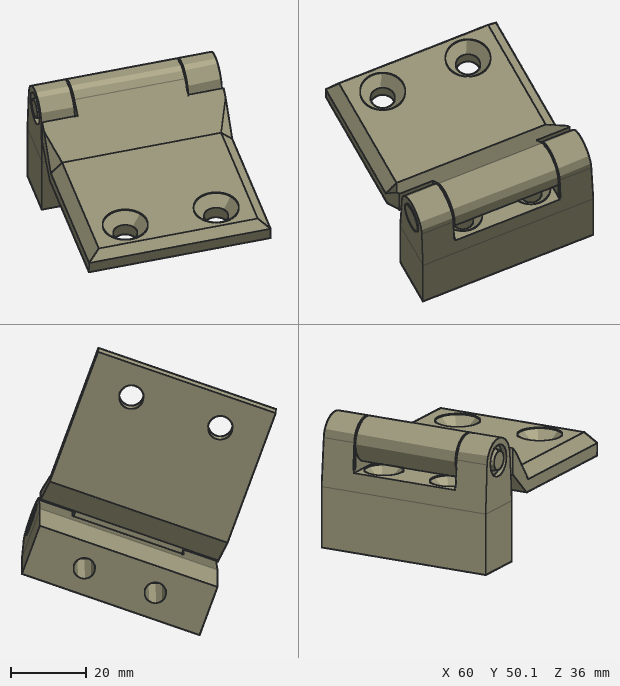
import cadquery as cq
import math


base_depth = 14.1
width = 50.0
block_height = 17.0
slot_floor = 22.0
slot_width = 30.65
relief_width = 31.2
relief_bottom = 22.85
relief_margin = 0.8
draft_angle = 0.5
base_hole_diameter = 5.7
base_sink_diameter = 10.5
base_hole_spacing = 20.0

axis_x = base_depth / 2
axis_z = 29.9
knuckle_radius = 6.1
hinge_top = axis_z + knuckle_radius

barrel_width = 30.4
notch_x = 14.45
arm_foot_x = 14.75
plate_thickness = 6.5
plate_bottom = block_height
plate_top = plate_bottom + plate_thickness
rim_height = 3.5
rim_z = plate_bottom + rim_height
upper_fold_x = 22.85
lower_fold_x = 21.95
leaf_end = 60.0
end_bevel = 1.6
end_undercut = 0.2
side_bevel = 3.1
bevel_start_x = 16.25
leaf_hole_x = 51.05
leaf_hole_spacing = 25.0
leaf_hole_diameter = 6.5
leaf_sink_diameter = 12.0

sink_lip = 0.3

pin_radius = 3.0
pin_tip_radius = 2.6
tip_recess_radius = 4.3
tip_recess_depth = 1.6
head_radius = 4.0
head_seat_depth = 1.1
head_stand_out = 0.1
head_bevel = 0.1

clearance = 0.6


def tangent_point(x, z, side, radius=knuckle_radius):
    """Point where the line from (x, z) touches a circle on the axis; side is +1 or -1 around it."""
    distance = math.hypot(x - axis_x, z - axis_z)
    angle = math.atan2(z - axis_z, x - axis_x) + side * math.acos(radius / distance)
    return (axis_x + radius * math.cos(angle), axis_z + radius * math.sin(angle))


def extrude_along_y(outline, length):
    """Solid from an XZ outline, centred on Y = 0."""
    return outline.extrude(length / 2, both=True)


def cylinder_along_y(radius, y_start, y_end):
    """Cylinder on the hinge axis between two Y positions."""
    plane = cq.Workplane("XZ", origin=(axis_x, y_start, axis_z))
    return plane.circle(radius).extrude(y_start - y_end)


def countersunk_holes(x, spacing, top, bottom, hole_diameter, sink_diameter):
    """Pair of vertical through holes with 90 degree countersinks below a short straight lip."""
    sink_depth = sink_lip + (sink_diameter - hole_diameter) / 2
    profile = [
        (0, bottom - clearance),
        (hole_diameter / 2, bottom - clearance),
        (hole_diameter / 2, top - sink_depth),
        (sink_diameter / 2, top - sink_lip),
        (sink_diameter / 2, top + clearance),
        (0, top + clearance),
    ]
    cutter = cq.Workplane("XZ").polyline(profile).close().revolve(360, (0, 0), (0, 1))
    first = cutter.translate((x, -spacing / 2, 0))
    second = cutter.translate((x, spacing / 2, 0))
    return first.union(second)


def knuckle_outline(inset):
    """Side outline of the knuckles, drawn in by an inset: straight flanks tangent to the round top."""
    radius = knuckle_radius - inset
    left = inset
    right = base_depth - inset
    return (
        cq.Workplane("XZ")
        .moveTo(left, block_height)
        .lineTo(right, block_height)
        .lineTo(*tangent_point(right, block_height, 1, radius))
        .threePointArc((axis_x, axis_z + radius), tangent_point(left, block_height, -1, radius))
        .close()
    )


def make_base():
    """Drilled block with two drafted knuckles standing on it."""
    block = cq.Workplane("XY").box(base_depth, width, block_height, centered=(False, True, False))

    draft = math.tan(math.radians(draft_angle))
    outer_top_y = width / 2 - (hinge_top - block_height) * draft
    slot_top_y = slot_width / 2 + (hinge_top - slot_floor) * draft
    fork = (
        cq.Workplane("YZ")
        .moveTo(-width / 2, block_height)
        .lineTo(width / 2, block_height)
        .lineTo(outer_top_y, hinge_top)
        .lineTo(slot_top_y, hinge_top)
        .lineTo(slot_width / 2, slot_floor)
        .lineTo(-slot_width / 2, slot_floor)
        .lineTo(-slot_top_y, hinge_top)
        .lineTo(-outer_top_y, hinge_top)
        .close()
        .extrude(base_depth)
    )
    knuckles = extrude_along_y(knuckle_outline(0), width)
    base = block.union(knuckles.intersect(fork))

    pads = extrude_along_y(knuckle_outline(relief_margin), width)
    relief = (
        cq.Workplane("XY")
        .box(base_depth, relief_width, hinge_top - relief_bottom, centered=(False, True, False))
        .translate((0, 0, relief_bottom))
        .cut(pads)
    )
    base = base.cut(relief)

    base = base.cut(
        countersunk_holes(
            x=axis_x,
            spacing=base_hole_spacing,
            top=slot_floor,
            bottom=0,
            hole_diameter=base_hole_diameter,
            sink_diameter=base_sink_diameter,
        )
    )

    bore = cylinder_along_y(pin_radius, -width / 2, width / 2)
    tip_recess = cylinder_along_y(tip_recess_radius, -width / 2, tip_recess_depth - width / 2)
    head_seat = cylinder_along_y(head_radius, width / 2 - head_seat_depth, width / 2)
    return base.cut(bore).cut(tip_recess).cut(head_seat)


def side_bevel_cutter():
    """Wedge along the +Y edge of the plate, from the fold to the end."""
    edge_y = width / 2
    slope = (plate_top - rim_z) / side_bevel
    outer_y = edge_y + clearance
    section = [
        (edge_y - side_bevel - clearance, plate_top + clearance * slope),
        (outer_y, rim_z - clearance * slope),
        (outer_y, plate_top + clearance * slope),
    ]
    return (
        cq.Workplane("YZ", origin=(upper_fold_x, 0, 0))
        .polyline(section)
        .close()
        .extrude(leaf_end - upper_fold_x)
    )


def arm_corner_cutter():
    """Tetrahedron that bevels the arm's +Y edge between the fold and the bevel's run-out."""
    tangent_x, tangent_z = tangent_point(upper_fold_x, plate_top, 1)
    arm_slope = (tangent_z - plate_top) / (upper_fold_x - tangent_x)
    edge_y = width / 2
    run_out = cq.Vector(bevel_start_x, edge_y, plate_top + arm_slope * (upper_fold_x - bevel_start_x))
    inner = cq.Vector(upper_fold_x, edge_y - side_bevel, plate_top)
    lower = cq.Vector(upper_fold_x, edge_y, rim_z)
    corner = cq.Vector(upper_fold_x, edge_y, plate_top)
    triangles = [
        (run_out, inner, lower),
        (run_out, inner, corner),
        (run_out, lower, corner),
        (inner, lower, corner),
    ]
    faces = [cq.Face.makeFromWires(cq.Wire.makePolygon(t, close=True)) for t in triangles]
    return cq.Workplane(cq.Solid.makeSolid(cq.Shell.makeShell(faces)))


def make_leaf():
    """Cranked leaf: barrel, sloping arm and bevelled plate with its screw holes."""
    leaf = extrude_along_y(
        cq.Workplane("XZ")
        .moveTo(axis_x, axis_z - knuckle_radius)
        .lineTo(arm_foot_x, axis_z - knuckle_radius)
        .lineTo(lower_fold_x, plate_bottom)
        .lineTo(leaf_end - end_undercut, plate_bottom)
        .lineTo(leaf_end, rim_z)
        .lineTo(leaf_end - end_bevel, plate_top)
        .lineTo(upper_fold_x, plate_top)
        .lineTo(*tangent_point(upper_fold_x, plate_top, 1))
        .threePointArc((axis_x - knuckle_radius, axis_z), (axis_x, axis_z - knuckle_radius))
        .close(),
        width,
    )

    notch_width = (width - barrel_width) / 2
    notch = (
        cq.Workplane("XY")
        .box(notch_x, notch_width, hinge_top, centered=(False, False, False))
        .translate((0, barrel_width / 2, 0))
    )
    for cutter in (notch, side_bevel_cutter(), arm_corner_cutter()):
        leaf = leaf.cut(cutter).cut(cutter.mirror("XZ"))

    leaf = leaf.cut(
        countersunk_holes(
            x=leaf_hole_x,
            spacing=leaf_hole_spacing,
            top=plate_top,
            bottom=plate_bottom,
            hole_diameter=leaf_hole_diameter,
            sink_diameter=leaf_sink_diameter,
        )
    )
    return leaf.cut(cylinder_along_y(pin_radius, -barrel_width / 2, barrel_width / 2))


def make_pin():
    """Headed pin: a tapered tip at -Y, flush with the base, and a low head at +Y."""
    tip_y = -width / 2
    seat_y = width / 2 - head_seat_depth
    head_y = width / 2 + head_stand_out
    profile = [
        (0, tip_y),
        (pin_tip_radius, tip_y),
        (pin_radius, tip_y + tip_recess_depth),
        (pin_radius, seat_y),
        (head_radius, seat_y),
        (head_radius, head_y - head_bevel),
        (head_radius - head_bevel, head_y),
        (0, head_y),
    ]
    pin = cq.Workplane("XY").polyline(profile).close().revolve(360, (0, 0), (0, 1))
    return pin.translate((axis_x, 0, axis_z))


base = make_base()
leaf = make_leaf()
pin = make_pin()

result = cq.Compound.makeCompound([base.val(), leaf.val(), pin.val()])